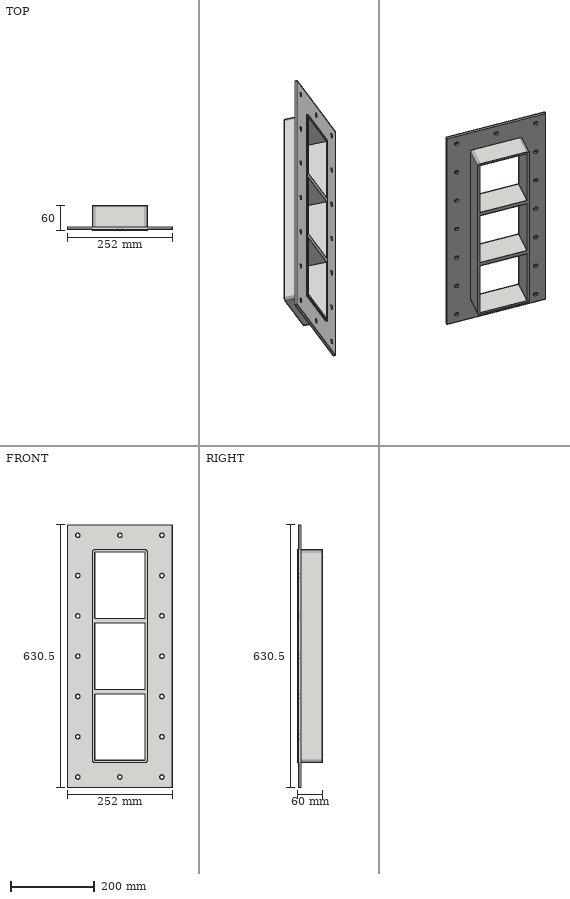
import cadquery as cq

plate_width = 252.0
plate_height = 630.5
plate_thickness = 6.0

collar_depth = 60.0
collar_front_projection = 2.85
wall = 6.0
corner_radius = wall

opening_count = 3
opening_width = 120.0
opening_height = 159.0
divider_thickness = 11.5
opening_pitch = opening_height + divider_thickness
openings_height = opening_count * opening_pitch - divider_thickness

collar_width = opening_width + 2 * wall
collar_height = openings_height + 2 * wall

hole_diameter = 10.0
hole_edge_distance = 25.0
holes_per_side = 7
hole_x = plate_width / 2 - hole_edge_distance
hole_z = plate_height / 2 - hole_edge_distance
hole_pitch = 2 * hole_z / (holes_per_side - 1)


def box_from(y_front, width, depth, height, z_center=0):
    """Box centered on X, running from y_front towards +Y."""
    box = cq.Workplane("XY").box(width, depth, height, centered=(True, False, True))
    return box.translate((0, y_front, z_center))


def mounting_hole_points():
    """Two side columns, plus a hole midway along the top and bottom edges."""
    points = [(0, -hole_z), (0, hole_z)]
    for row in range(holes_per_side):
        z = -hole_z + row * hole_pitch
        points += [(-hole_x, z), (hole_x, z)]
    return points


def make_plate():
    plate = box_from(0, plate_width, plate_thickness, plate_height)
    return (
        plate.faces("<Y")
        .workplane(centerOption="CenterOfBoundBox")
        .pushPoints(mounting_hole_points())
        .hole(hole_diameter)
    )


def make_collar():
    collar = box_from(-collar_front_projection, collar_width, collar_depth, collar_height)
    return collar.edges("|Y").fillet(corner_radius)


def cut_openings(body):
    for index in range(opening_count):
        z = (index - (opening_count - 1) / 2) * opening_pitch
        opening = box_from(-collar_front_projection, opening_width, collar_depth, opening_height, z)
        body = body.cut(opening)
    return body


result = cut_openings(make_plate().union(make_collar()))